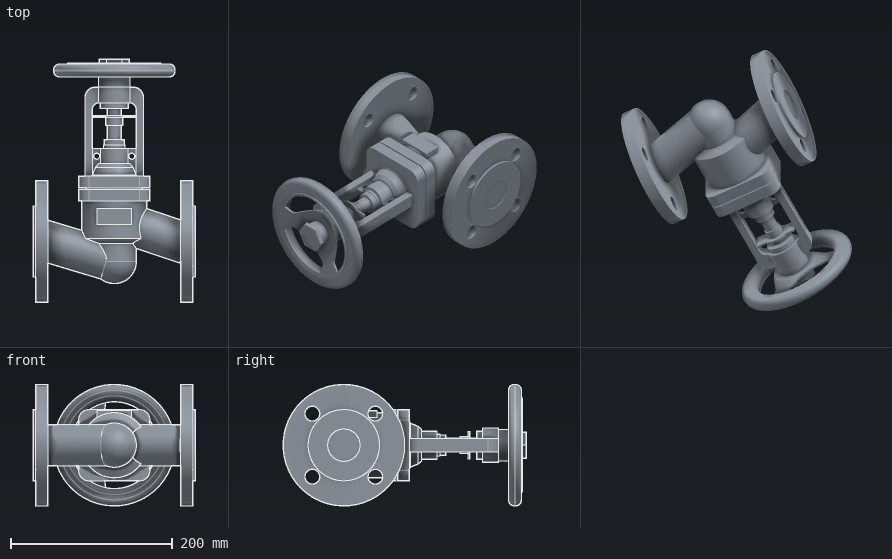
import cadquery as cq
import math


FACE_TO_FACE = 200.0
FLANGE_DIAMETER = 150.2
FLANGE_THICKNESS = 15
RAISED_FACE_DIAMETER = 88.0
RAISED_FACE_HEIGHT = 3
BOLT_CIRCLE_DIAMETER = 110.0
BOLT_HOLE_DIAMETER = 18
BORE_DIAMETER = 40.0
BORE_RECESS_DEPTH = 1.0
FLANGE_BACK_X = FACE_TO_FACE / 2 - RAISED_FACE_HEIGHT - FLANGE_THICKNESS

PIPE_RADIUS = 25.5
PIPE_EMBED = FLANGE_THICKNESS / 2
ELBOW_RADIUS = 27.3
ELBOW_CENTER_Y = -24.5
OUTLET_AXIS_Y = 27.3
NECK_TOP_Y = -2.0
BODY_RADIUS = 40.2
BODY_BOTTOM_Y = 4.0

JOINT_SIDE = 88.0
JOINT_CORNER_RADIUS = 13.0
JOINT_THICKNESS = 14.5
JOINT_GAP = 1.8
GASKET_RADIUS = 34.8
BODY_TOP_Y = 50.2
GASKET_Y = BODY_TOP_Y + JOINT_THICKNESS
BONNET_PLATE_Y = GASKET_Y + JOINT_GAP
BONNET_Y = BONNET_PLATE_Y + JOINT_THICKNESS

NAME_PLATE_WIDTH = 42.5
NAME_PLATE_LENGTH = 19.8
NAME_PLATE_BOTTOM_Y = 21.3
NAME_PLATE_TOP_Z = 42.5

DOME_FOOT_RADIUS = 29.5
DOME_FOOT_HEIGHT = 1.5
DOME_BASE_RADIUS = 27
DOME_SHOULDER_RADIUS = 23.5
DOME_SHOULDER_Y = 91.5
DOME_TOP_RADIUS = 19.5
DOME_TOP_Y = 96

PACKING_TOP_Y = 115.0
STEM_STEPS = [(17.5, PACKING_TOP_Y), (13.5, 119.0), (12.5, 125.8), (8.7, 164.0)]
STEM_NUT_RADIUS = 10.5
STEM_NUT_BOTTOM_Y = 143.3
GUIDE_PLATE_BOTTOM_Y = 153.2
GUIDE_PLATE_THICKNESS = 2.5
GUIDE_PLATE_LENGTH = 50.8
GUIDE_PLATE_WIDTH = 22.2
GUIDE_PLATE_RADIUS = 17.0

YOKE_WIDTH = 72.5
YOKE_INNER_WIDTH = 53.8
YOKE_TOP_Y = 190.7
YOKE_INNER_TOP_Y = 171.0
YOKE_THICKNESS = 16.8
YOKE_OUTER_CORNER = 13.0
YOKE_INNER_CORNER = 7.5
WEB_THICKNESS = 6
WEB_HOLE_DIAMETER = 7.2
WEB_HOLE_X = 21.5
WEB_HOLE_Y = 105.5
YOKE_HUB_RADIUS = 21.3
BUSH_RADIUS = 17.5
BUSH_BOTTOM_Y = 164.0

WHEEL_RADIUS = 75
RIM_WIDTH = 21.5
RIM_HEIGHT = 16.2
RIM_ROUNDING = 7.5
WHEEL_BOTTOM_Y = 203.0
WHEEL_TOP_Y = 220.2
WHEEL_SHAFT_RADIUS = 19.5
WHEEL_HUB_RADIUS = 28.2
WHEEL_HUB_BOTTOM_Y = 204.8
RIM_INNER_RADIUS = WHEEL_RADIUS - RIM_WIDTH
RIM_MID_RADIUS = WHEEL_RADIUS - RIM_WIDTH / 2
SPOKE_OUTER_RADIUS = 58.0
SPOKE_EDGE_THICKNESS = 2.5
HUB_PLATE_THICKNESS = 3
WHEEL_BOSS_RADIUS = 15
SPOKE_COUNT = 3
WINDOW_INNER_DISTANCE = 28.8
WINDOW_INNER_WIDTH = 61.3
WINDOW_OUTER_WIDTH = 90
WINDOW_CORNER_RADIUS = 6
WHEEL_NUT_CORNERS = 37.2
WHEEL_NUT_TOP_Y = 225.3


def across_stem(y):
    """Workplane square to the stem at height y; positive extrusion runs towards -Y."""
    return cq.Workplane("XZ", origin=(0, y, 0))


def stem_cylinder(radius, bottom_y, top_y):
    return across_stem(top_y).circle(radius).extrude(top_y - bottom_y)


def turned(points):
    """Solid of revolution about the stem axis from (radius, y) points."""
    return cq.Workplane("XY").polyline(points).close().revolve(360, (0, 0), (0, 1))


def end_flange():
    """Flange at the -X end with its raised face, bolt holes and shallow bore recess."""
    back = cq.Workplane("YZ", origin=(-FLANGE_BACK_X, 0, 0))
    hole_span = BOLT_CIRCLE_DIAMETER / math.sqrt(2)
    depth = FLANGE_THICKNESS + RAISED_FACE_HEIGHT
    flange = back.circle(FLANGE_DIAMETER / 2).extrude(-FLANGE_THICKNESS)
    flange = flange.union(back.circle(RAISED_FACE_DIAMETER / 2).extrude(-depth))
    holes = (
        back.rect(hole_span, hole_span, forConstruction=True)
        .vertices()
        .circle(BOLT_HOLE_DIAMETER / 2)
        .extrude(-depth)
    )
    recess = (
        back.workplane(offset=-depth)
        .circle(BORE_DIAMETER / 2)
        .extrude(BORE_RECESS_DEPTH)
    )
    return flange.cut(holes).cut(recess)


def sloping_pipe(flange_x, inner_y):
    """Pipe from inside the flange to the stem axis at height inner_y."""
    inner_end = cq.Vector(0, inner_y, 0)
    axis = cq.Vector(flange_x, 0, 0) - inner_end
    length = axis.Length + PIPE_EMBED
    return cq.Workplane(cq.Solid.makeCylinder(PIPE_RADIUS, length, inner_end, axis))


def body():
    half_profile = (
        cq.Workplane("XY")
        .moveTo(0, ELBOW_CENTER_Y - ELBOW_RADIUS)
        .radiusArc((ELBOW_RADIUS, ELBOW_CENTER_Y), -ELBOW_RADIUS)
        .lineTo(ELBOW_RADIUS, NECK_TOP_Y)
        .lineTo(BODY_RADIUS, BODY_BOTTOM_Y)
        .lineTo(BODY_RADIUS, BODY_TOP_Y)
        .lineTo(0, BODY_TOP_Y)
        .close()
    )
    chamber = half_profile.revolve(360, (0, 0), (0, 1))
    name_plate = cq.Workplane("XY").box(
        NAME_PLATE_WIDTH, NAME_PLATE_LENGTH, NAME_PLATE_TOP_Z, centered=(True, False, False)
    )
    return (
        chamber.union(sloping_pipe(-FLANGE_BACK_X, ELBOW_CENTER_Y))
        .union(sloping_pipe(FLANGE_BACK_X, OUTLET_AXIS_Y))
        .union(name_plate.translate((0, NAME_PLATE_BOTTOM_Y, 0)))
    )


def joint_plate(bottom_y):
    return (
        across_stem(bottom_y)
        .rect(JOINT_SIDE, JOINT_SIDE)
        .extrude(-JOINT_THICKNESS)
        .edges("|Y")
        .fillet(JOINT_CORNER_RADIUS)
    )


def bonnet_joint():
    gasket = stem_cylinder(GASKET_RADIUS, GASKET_Y, BONNET_PLATE_Y)
    return joint_plate(BODY_TOP_Y).union(gasket).union(joint_plate(BONNET_PLATE_Y))


def bonnet_dome():
    return turned(
        [
            (0, BONNET_Y),
            (DOME_FOOT_RADIUS, BONNET_Y),
            (DOME_BASE_RADIUS, BONNET_Y + DOME_FOOT_HEIGHT),
            (DOME_SHOULDER_RADIUS, DOME_SHOULDER_Y),
            (DOME_TOP_RADIUS, DOME_TOP_Y),
            (0, DOME_TOP_Y),
        ]
    )


def guide_plate():
    """Disc with a straight bar across it that reaches towards both yoke arms."""
    top_y = GUIDE_PLATE_BOTTOM_Y + GUIDE_PLATE_THICKNESS
    bar = across_stem(top_y).rect(GUIDE_PLATE_LENGTH, GUIDE_PLATE_WIDTH).extrude(GUIDE_PLATE_THICKNESS)
    return bar.union(stem_cylinder(GUIDE_PLATE_RADIUS, GUIDE_PLATE_BOTTOM_Y, top_y))


def stem():
    steps = stem_cylinder(STEM_NUT_RADIUS, STEM_NUT_BOTTOM_Y, GUIDE_PLATE_BOTTOM_Y)
    bottom_y = DOME_TOP_Y
    for radius, top_y in STEM_STEPS:
        steps = steps.union(stem_cylinder(radius, bottom_y, top_y))
        bottom_y = top_y
    return steps.union(guide_plate())


def upright_block(width, top_y, thickness):
    """Block standing on the bonnet plate, centred on the stem."""
    height = top_y - BONNET_Y
    return cq.Workplane("XY", origin=(0, BONNET_Y + height / 2, 0)).box(width, height, thickness)


def yoke():
    frame = upright_block(YOKE_WIDTH, YOKE_TOP_Y, YOKE_THICKNESS)
    frame = frame.edges("|Z and >Y").fillet(YOKE_OUTER_CORNER)
    opening = upright_block(YOKE_INNER_WIDTH, YOKE_INNER_TOP_Y, YOKE_THICKNESS)
    opening = opening.edges("|Z and >Y").fillet(YOKE_INNER_CORNER)
    web_holes = (
        cq.Workplane("XY")
        .pushPoints([(-WEB_HOLE_X, WEB_HOLE_Y), (WEB_HOLE_X, WEB_HOLE_Y)])
        .circle(WEB_HOLE_DIAMETER / 2)
        .extrude(WEB_THICKNESS, both=True)
    )
    web = upright_block(YOKE_INNER_WIDTH, PACKING_TOP_Y, WEB_THICKNESS).cut(web_holes)
    return (
        frame.cut(opening)
        .union(web)
        .union(stem_cylinder(YOKE_HUB_RADIUS, YOKE_INNER_TOP_Y, YOKE_TOP_Y))
        .union(stem_cylinder(BUSH_RADIUS, BUSH_BOTTOM_Y, YOKE_INNER_TOP_Y))
    )


def wheel_window(angle):
    """Cutter between two spokes, centred on the given angle and ending at the rim."""
    half_inner = WINDOW_INNER_WIDTH / 2
    half_outer = WINDOW_OUTER_WIDTH / 2
    window = (
        across_stem(WHEEL_TOP_Y)
        .polyline(
            [
                (WINDOW_INNER_DISTANCE, -half_inner),
                (RIM_MID_RADIUS, -half_outer),
                (RIM_MID_RADIUS, half_outer),
                (WINDOW_INNER_DISTANCE, half_inner),
            ]
        )
        .close()
        .extrude(WHEEL_TOP_Y - WHEEL_HUB_BOTTOM_Y)
        .edges("|Y and <X")
        .fillet(WINDOW_CORNER_RADIUS)
    )
    inside_rim = stem_cylinder(RIM_INNER_RADIUS, WHEEL_HUB_BOTTOM_Y, WHEEL_TOP_Y)
    return window.intersect(inside_rim).rotate((0, 0, 0), (0, 1, 0), -angle)


def hand_wheel():
    """Rounded rim joined to a dished hub plate whose windows leave the spokes."""
    rim = (
        cq.Workplane("XY")
        .center(RIM_MID_RADIUS, WHEEL_BOTTOM_Y + RIM_HEIGHT / 2)
        .rect(RIM_WIDTH, RIM_HEIGHT)
        .revolve(360, (-RIM_MID_RADIUS, 0), (-RIM_MID_RADIUS, 1))
        .edges()
        .fillet(RIM_ROUNDING)
    )
    spokes = turned(
        [
            (0, WHEEL_HUB_BOTTOM_Y),
            (WHEEL_HUB_RADIUS, WHEEL_HUB_BOTTOM_Y),
            (SPOKE_OUTER_RADIUS, WHEEL_TOP_Y - SPOKE_EDGE_THICKNESS),
            (SPOKE_OUTER_RADIUS, WHEEL_TOP_Y),
            (WHEEL_HUB_RADIUS, WHEEL_HUB_BOTTOM_Y + HUB_PLATE_THICKNESS),
            (0, WHEEL_HUB_BOTTOM_Y + HUB_PLATE_THICKNESS),
        ]
    )
    pitch = 360 / SPOKE_COUNT
    for index in range(SPOKE_COUNT):
        spokes = spokes.cut(wheel_window((index + 0.5) * pitch))
    nut = (
        across_stem(WHEEL_NUT_TOP_Y)
        .polygon(6, WHEEL_NUT_CORNERS)
        .extrude(WHEEL_NUT_TOP_Y - WHEEL_TOP_Y)
    )
    shaft = stem_cylinder(WHEEL_SHAFT_RADIUS, YOKE_TOP_Y, WHEEL_HUB_BOTTOM_Y)
    boss = stem_cylinder(WHEEL_BOSS_RADIUS, WHEEL_HUB_BOTTOM_Y, WHEEL_TOP_Y)
    return rim.union(spokes).union(shaft).union(boss).union(nut)


inlet_flange = end_flange()
outlet_flange = inlet_flange.mirror("YZ")
result = (
    body()
    .union(inlet_flange)
    .union(outlet_flange)
    .union(bonnet_joint())
    .union(bonnet_dome())
    .union(stem())
    .union(yoke())
    .union(hand_wheel())
)